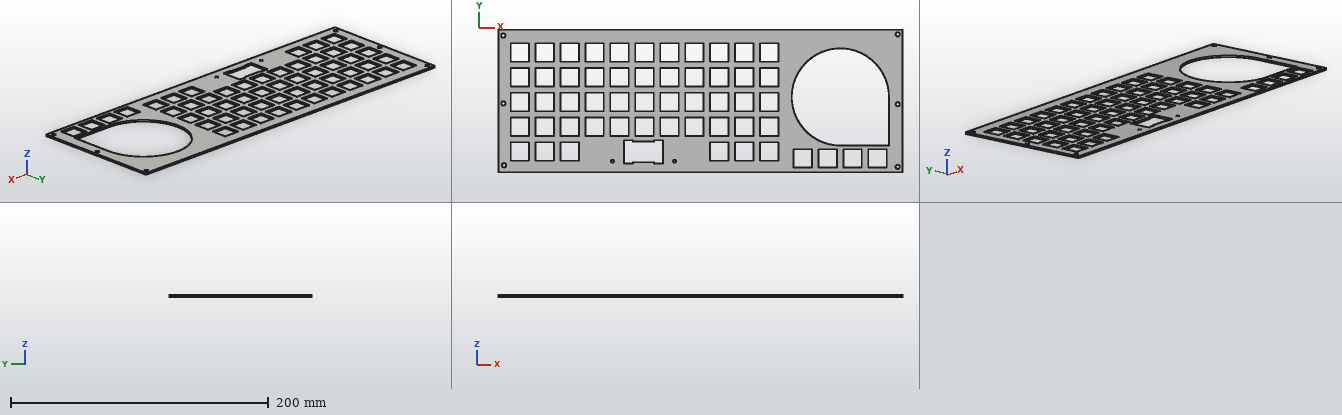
import cadquery as cq
import math

plate_length = 313.8
plate_width = 110.8
plate_thickness = 1.6

key_size = 14.0
column_count = 11
row_count = 5
first_column_x = -140.3
last_column_x = 53.5
top_row_y = 37.5
bottom_row_y = -39.2
column_pitch = (last_column_x - first_column_x) / (column_count - 1)
row_pitch = (top_row_y - bottom_row_y) / (row_count - 1)
bottom_row_columns = [0, 1, 2, 8, 9, 10]

side_key_count = 4
side_key_first_x = 79.5
side_key_y = -44.5

space_bar_x = -44.2
space_bar_y = -39.5
space_bar_length = 30.0
space_bar_width = 18.0
waist_length = 16.5
waist_width = 16.0

pin_diameter = 2.2
pin_spacing = 48.3
pin_y = -46.8

dial_diameter = 75.3
dial_x = 108.5
dial_y = 3.0

mount_diameter = 3.0
mount_points = [
    (-153.0, 50.8), (-153.0, -2.0), (-152.5, -50.0),
    (153.0, 51.8), (153.0, -2.5), (153.0, -51.0),
]


def key_points():
    """Centres of all the square key openings."""
    points = []
    for row in range(row_count):
        is_bottom_row = row == row_count - 1
        columns = bottom_row_columns if is_bottom_row else range(column_count)
        for column in columns:
            points.append((first_column_x + column * column_pitch, top_row_y - row * row_pitch))
    for key in range(side_key_count):
        points.append((side_key_first_x + key * column_pitch, side_key_y))
    return points


def space_bar_cutter():
    """Waisted slot: two full-width ends joined by a narrower middle."""
    end_length = (space_bar_length - waist_length) / 2
    end_offset = (waist_length + end_length) / 2
    end_points = [(space_bar_x - end_offset, space_bar_y), (space_bar_x + end_offset, space_bar_y)]
    ends = cq.Workplane("XY").pushPoints(end_points).rect(end_length, space_bar_width).extrude(plate_thickness)
    waist = (
        cq.Workplane("XY")
        .center(space_bar_x, space_bar_y)
        .rect(waist_length, waist_width)
        .extrude(plate_thickness)
    )
    return waist.union(ends)


def dial_cutter():
    """Three-quarter circle whose lower right quadrant is filled out to a square corner."""
    radius = dial_diameter / 2
    diagonal = radius * math.sqrt(0.5)
    return (
        cq.Workplane("XY")
        .center(dial_x, dial_y)
        .moveTo(0, -radius)
        .lineTo(radius, -radius)
        .lineTo(radius, 0)
        .threePointArc((0, radius), (-radius, 0))
        .threePointArc((-diagonal, -diagonal), (0, -radius))
        .close()
        .extrude(plate_thickness)
    )


def hole_cutter(points, diameter):
    return cq.Workplane("XY").pushPoints(points).circle(diameter / 2).extrude(plate_thickness)


plate = cq.Workplane("XY").box(plate_length, plate_width, plate_thickness, centered=(True, True, False))
keys = cq.Workplane("XY").pushPoints(key_points()).rect(key_size, key_size).extrude(plate_thickness)
pin_points = [(space_bar_x - pin_spacing / 2, pin_y), (space_bar_x + pin_spacing / 2, pin_y)]

result = (
    plate.cut(keys)
    .cut(space_bar_cutter())
    .cut(dial_cutter())
    .cut(hole_cutter(pin_points, pin_diameter))
    .cut(hole_cutter(mount_points, mount_diameter))
)